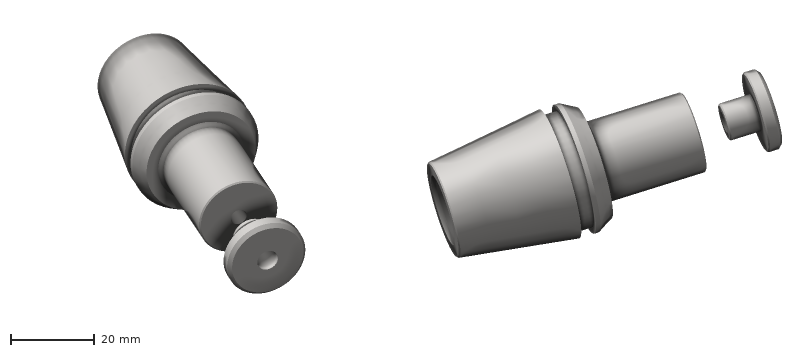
import cadquery as cq


nose_diameter = 24.15
head_diameter = 32.45
head_end = 29.5
groove_diameter = 29.2
groove_width = 3.7
collar_rim_width = 1.2
collar_bevel_width = 3.9
collar_back_diameter = 28.05
neck_chamfer = 1.0
shank_diameter = 20.1
shank_end = 63.6

bore_diameter = 15.8
mouth_chamfer = 0.8
mouth_chamfer_depth = 1.0
counterbore_diameter = 8.2
counterbore_depth = 5.0
through_diameter = 4.1

overall_length = 83.0
stem_start = 71.4
stem_diameter = 9.3
stem_bore_diameter = 5.3
flange_thickness = 3.7
flange_back_chamfer = 0.9

edge_chamfer = 0.3

collar_start = head_end + groove_width
collar_rim_end = collar_start + collar_rim_width
collar_end = collar_rim_end + collar_bevel_width
flange_start = overall_length - flange_thickness


def revolve_profile(points):
    """Turn a closed (x, radius) outline about the X axis."""
    return cq.Workplane("XY").polyline(points).close().revolve(360, (0, 0), (1, 0))


def cylinder_along_x(start, end, diameter):
    return cq.Workplane("YZ", origin=(start, 0, 0)).circle(diameter / 2).extrude(end - start)


def make_sleeve_blank():
    nose_radius = nose_diameter / 2
    head_radius = head_diameter / 2
    groove_radius = groove_diameter / 2
    shank_radius = shank_diameter / 2
    return revolve_profile([
        (0, 0),
        (0, nose_radius - edge_chamfer),
        (edge_chamfer, nose_radius),
        (head_end, head_radius),
        (head_end, groove_radius),
        (collar_start, groove_radius),
        (collar_start, head_radius),
        (collar_rim_end, head_radius),
        (collar_end, collar_back_diameter / 2),
        (collar_end, shank_radius + neck_chamfer),
        (collar_end + neck_chamfer, shank_radius),
        (shank_end - edge_chamfer, shank_radius),
        (shank_end, shank_radius - edge_chamfer),
        (shank_end, 0),
    ])


def make_sleeve_bore():
    """Chamfered main bore, stepping down to a counterbore and a through hole."""
    bore_radius = bore_diameter / 2
    bore_floor = collar_end
    main_bore = revolve_profile([
        (0, 0),
        (0, bore_radius + mouth_chamfer),
        (mouth_chamfer_depth, bore_radius),
        (bore_floor, bore_radius),
        (bore_floor, 0),
    ])
    counterbore = cylinder_along_x(bore_floor, bore_floor + counterbore_depth, counterbore_diameter)
    through_hole = cylinder_along_x(bore_floor, shank_end, through_diameter)
    return main_bore.union(counterbore).union(through_hole)


def make_sleeve():
    return make_sleeve_blank().cut(make_sleeve_bore())


def make_plug():
    stem_radius = stem_diameter / 2
    stem_bore_radius = stem_bore_diameter / 2
    flange_radius = shank_diameter / 2
    return revolve_profile([
        (stem_start, stem_bore_radius),
        (stem_start, stem_radius - edge_chamfer),
        (stem_start + edge_chamfer, stem_radius),
        (flange_start, stem_radius),
        (flange_start, flange_radius - edge_chamfer),
        (flange_start + edge_chamfer, flange_radius),
        (overall_length - flange_back_chamfer, flange_radius),
        (overall_length, flange_radius - flange_back_chamfer),
        (overall_length, stem_bore_radius),
    ])


sleeve = make_sleeve()
plug = make_plug()

result = cq.Compound.makeCompound([sleeve.val(), plug.val()])